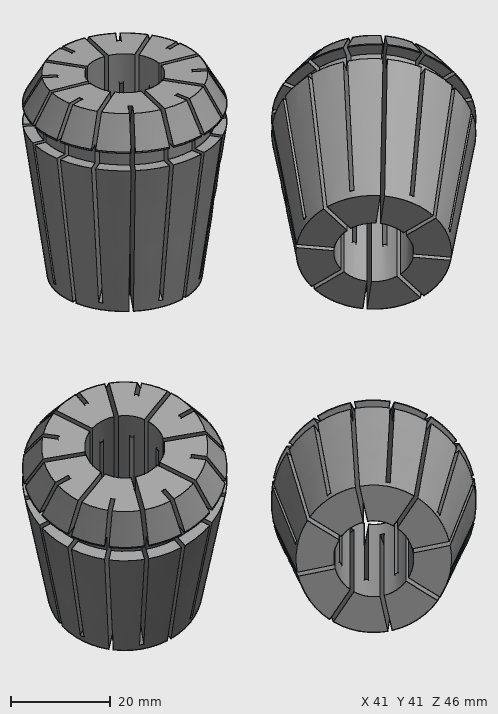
import cadquery as cq
import math


height = 46.0
outer_diameter = 41.0
outer_radius = outer_diameter / 2
bore_radius = 8.0

nose_height = 7.0
land_height = 0.3
nose_half_angle = 30.0

groove_width = 4.0
groove_radius = 18.05

taper_half_angle = 8.0

slots_per_end = 8
slot_width = 0.87
blade_radius = 45.1
blade_center_radius = 45.35
top_slot_blade_z = 35.85
bottom_slot_blade_z = 14.05

land_bottom_z = height - nose_height
land_top_z = land_bottom_z + land_height
groove_bottom_z = land_bottom_z - groove_width
top_radius = outer_radius - (height - land_top_z) * math.tan(math.radians(nose_half_angle))
bottom_radius = outer_radius - groove_bottom_z * math.tan(math.radians(taper_half_angle))


def make_body():
    """Revolve the half section of the collet, bore included, about Z."""
    half_section = [
        (bore_radius, 0),
        (bottom_radius, 0),
        (outer_radius, groove_bottom_z),
        (groove_radius, groove_bottom_z),
        (groove_radius, land_bottom_z),
        (outer_radius, land_bottom_z),
        (outer_radius, land_top_z),
        (top_radius, height),
        (bore_radius, height),
    ]
    return cq.Workplane("XZ").polyline(half_section).close().revolve(360, (0, 0), (0, 1))


def make_blade(blade_z, angle):
    """Disc in the radial plane at the given angle, its center outside the body."""
    blade = (
        cq.Workplane("XZ")
        .center(blade_center_radius, blade_z)
        .circle(blade_radius)
        .extrude(slot_width / 2, both=True)
    )
    return blade.rotate((0, 0, 0), (0, 0, 1), angle)


result = make_body()

slot_pitch = 360 / slots_per_end
for slot in range(slots_per_end):
    top_slot_angle = slot * slot_pitch
    bottom_slot_angle = top_slot_angle + slot_pitch / 2
    result = result.cut(make_blade(top_slot_blade_z, top_slot_angle))
    result = result.cut(make_blade(bottom_slot_blade_z, bottom_slot_angle))